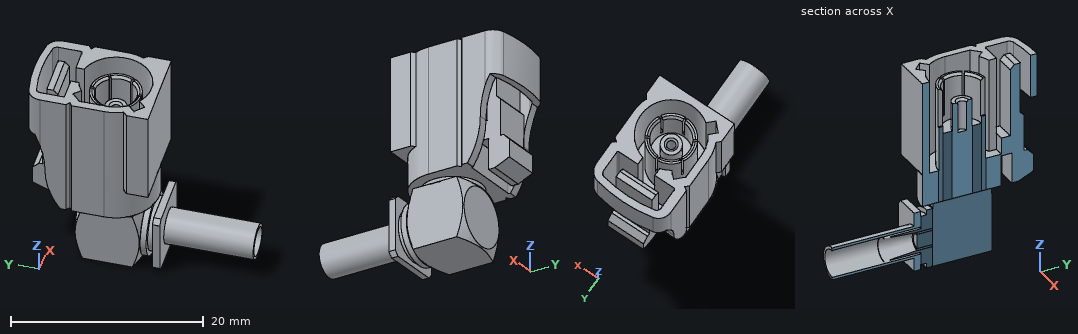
import cadquery as cq
import math


total_length = 24.05

housing_width = 9.4
housing_height = 14.8
half_width = housing_width / 2
block_bottom = 3.85
left_tip_depth = 1.97
left_shoulder_depth = 2.38
right_tip_depth = 1.78
right_shoulder_depth = 2.24
back_crown = 8.8
crown_radius = 16.6
back_corner_radius = 1.56

groove_top = 4.1
groove_tip = 3.8
groove_bottom = 3.49
groove_depth = 0.4

window_half_width = 3.6
window_front = 4.57
back_wall = 0.82
window_back_radius = 0.53
window_front_radius = 0.15

scoop_top = 9.67
scoop_top_y = 7.48
scoop_middle = (6.35, 5.0)
scoop_bottom_y = 4.75

cavity_radius = 3.82
key_half_width = 0.65
back_key_angle = 135
back_key_reach = cavity_radius * math.sqrt(2) - key_half_width
front_key_angle = 225
front_key_reach = 4.83
access_half_width = 1.05

latch_half_width = 2.25
latch_top = 14.2
latch_inner_y = 5.6
latch_outer_y = 6.8
latch_top_chamfer = 0.5
latch_pad_y = 7.26
latch_pad_top = 7.82
hook_y = 8.37
hook_ledge = 3.58
hook_ledge_y = 7.65
hook_slope_top = 2.84
hook_slope_bottom = 0.77
hook_toe_y = 6.6
hook_back_y = 5.8
web_bottom = hook_ledge
web_top = 5.77

shell_radius = 2.75
shell_bore = 2.24
shell_top = 13.47
shell_chamfer = 0.26
shell_slot_width = 0.25
shell_slot_bottom = 9.02
shell_slot_pairs = 3
insulator_top = 8.18
socket_radius = 1.15
socket_top = 11.42
socket_bore = 0.48
socket_chamfer = 0.25
socket_bore_depth = 3.6

cube_side = 7.02
cube_top = -0.48
half_cube = cube_side / 2
cable_z = cube_top - half_cube
neck_radius = 3.45
bevel_start_radius = 3.37
bevel_end_radius = half_cube * math.sqrt(2)
bevel_depth = 0.82

collar_radius = half_cube
collar_end = 4.18
barrel_neck_radius = 2.93
barrel_neck_end = 4.85
sleeve_radius = 1.45
sleeve_end = 9.15
sleeve_bore = 1.05
sleeve_mouth = 1.37
sleeve_taper_length = 3.85

flange_end = 5.65
flange_chamfer = 0.53
tube_radius = 1.95
tube_bore = 1.59
tube_end = total_length - back_crown

conductor_radius = 0.82


def cylinder_z(radius, bottom, top):
    return cq.Workplane("XY", origin=(0, 0, bottom)).circle(radius).extrude(top - bottom)


def cylinder_y(radius, start, end):
    """Cylinder on the cable axis between two distances from the mating axis."""
    return cq.Workplane("XZ", origin=(0, -start, cable_z)).circle(radius).extrude(end - start)


def crown_y(x, crown, radius):
    """Y of a crowned arc, centred on X = 0, at the given X."""
    return crown - radius + math.sqrt(radius**2 - x**2)


def on_front_circle(depth):
    """X on the rounded front of the housing at Y = -depth."""
    return math.sqrt(half_width**2 - depth**2)


def outer_walls():
    corner_y = crown_y(half_width, back_crown, crown_radius)
    return (
        cq.Workplane("XY")
        .moveTo(-half_width, 0)
        .threePointArc((0, -half_width), (half_width, 0))
        .lineTo(half_width, corner_y)
        .threePointArc((0, back_crown), (-half_width, corner_y))
        .close()
        .extrude(housing_height)
        .edges("|Z")
        .edges(">Y")
        .fillet(back_corner_radius)
    )


def front_block():
    outline = [
        (-half_width, -half_width),
        (-half_width, -left_shoulder_depth),
        (-on_front_circle(left_tip_depth), -left_tip_depth),
        (on_front_circle(right_tip_depth), -right_tip_depth),
        (half_width, -right_shoulder_depth),
        (half_width, -half_width),
    ]
    base = cq.Workplane("XY", origin=(0, 0, block_bottom))
    return base.polyline(outline).close().extrude(housing_height - block_bottom)


def side_groove(side):
    outline = [
        (side * half_width, groove_top),
        (side * (half_width - groove_depth), groove_tip),
        (side * half_width, groove_bottom),
    ]
    return cq.Workplane("XY").polyline(outline).close().extrude(housing_height)


def back_window():
    crown = back_crown - back_wall
    corner_y = crown_y(window_half_width, crown, crown_radius - back_wall)
    return (
        cq.Workplane("XY")
        .moveTo(-window_half_width, window_front)
        .lineTo(window_half_width, window_front)
        .lineTo(window_half_width, corner_y)
        .threePointArc((0, crown), (-window_half_width, corner_y))
        .close()
        .extrude(housing_height)
        .edges("|Z")
        .edges(">Y")
        .fillet(window_back_radius)
        .edges("|Z")
        .edges("<Y")
        .fillet(window_front_radius)
    )


def upright_arc_middle(end):
    """Point halfway up the arc that leaves scoop_middle upright and passes through end."""
    rise = end[1] - scoop_middle[1]
    run = end[0] - scoop_middle[0]
    radius = (run**2 + rise**2) / (2 * abs(run))
    sag = radius - math.sqrt(radius**2 - (rise / 2) ** 2)
    return (scoop_middle[0] + math.copysign(sag, run), scoop_middle[1] + rise / 2)


def back_scoop():
    top = (scoop_top_y, scoop_top)
    bottom = (scoop_bottom_y, 0)
    return (
        cq.Workplane("YZ")
        .moveTo(back_crown, scoop_top)
        .lineTo(*top)
        .threePointArc(upright_arc_middle(top), scoop_middle)
        .threePointArc(upright_arc_middle(bottom), bottom)
        .lineTo(back_crown, 0)
        .close()
        .extrude(half_width, both=True)
    )


def mating_cavity():
    depth = housing_height - block_bottom
    base = cq.Workplane("XY", origin=(0, 0, block_bottom))
    cavity = base.circle(cavity_radius).extrude(depth)
    for angle, reach in ((back_key_angle, back_key_reach), (front_key_angle, front_key_reach)):
        key = base.rect(reach, 2 * key_half_width).extrude(depth)
        key = key.translate((reach / 2, 0, 0))
        cavity = cavity.union(key.rotate((0, 0, 0), (0, 0, 1), angle))
    flat_length = cavity_radius - math.sqrt(2) * key_half_width
    flat = base.rect(cavity_radius, flat_length, centered=False).extrude(depth)
    cavity = cavity.union(flat.translate((-cavity_radius, 0, 0)))
    access = base.rect(2 * access_half_width, window_front, centered=(True, False)).extrude(depth)
    return cavity.union(access)


def latch():
    profile = [
        (latch_inner_y, latch_top - latch_top_chamfer),
        (latch_inner_y + latch_top_chamfer, latch_top),
        (latch_outer_y, latch_top),
        (latch_outer_y, latch_pad_top + latch_pad_y - latch_outer_y),
        (latch_pad_y, latch_pad_top),
        (latch_pad_y, hook_ledge),
        (hook_ledge_y, hook_ledge),
        (hook_y, hook_slope_top),
        (hook_y, hook_slope_bottom),
        (hook_toe_y, 0),
        (hook_back_y, 0),
        (hook_back_y, web_bottom),
        (window_front, web_bottom),
        (window_front, web_top),
        (latch_inner_y, web_top),
    ]
    return cq.Workplane("YZ").polyline(profile).close().extrude(latch_half_width, both=True)


def make_housing():
    body = outer_walls().union(front_block())
    for side in (-1, 1):
        body = body.cut(side_groove(side))
    body = body.cut(back_window()).cut(back_scoop()).cut(mating_cavity())
    body = body.cut(cylinder_z(shell_radius, 0, block_bottom))
    return body.union(latch())


def make_shell():
    shell = (
        cylinder_z(shell_radius, 0, shell_top)
        .cut(cylinder_z(shell_bore, 0, shell_top))
        .faces(">Z")
        .edges(cq.selectors.RadiusNthSelector(0))
        .chamfer(shell_chamfer)
    )
    slot_height = shell_top - shell_slot_bottom
    for index in range(shell_slot_pairs):
        slot = (
            cq.Workplane("XY", origin=(0, 0, shell_slot_bottom))
            .rect(shell_slot_width, 2 * shell_radius + shell_slot_width)
            .extrude(slot_height)
            .rotate((0, 0, 0), (0, 0, 1), index * 180 / shell_slot_pairs)
        )
        shell = shell.cut(slot)
    return shell


def make_insulator():
    return cylinder_z(shell_bore, 0, insulator_top).cut(cylinder_z(socket_radius, 0, insulator_top))


def make_socket():
    return (
        cylinder_z(socket_radius, 0, socket_top)
        .cut(cylinder_z(socket_bore, socket_top - socket_bore_depth, socket_top))
        .faces(">Z")
        .edges(cq.selectors.RadiusNthSelector(0))
        .chamfer(socket_chamfer)
    )


def make_angle_body():
    cube = cq.Workplane("XY").box(cube_side, cube_side, cube_side)
    bevel_y = half_cube - bevel_depth
    bevelled_round = (
        cq.Workplane("XY")
        .polyline([
            (0, -half_cube),
            (bevel_start_radius, -half_cube),
            (bevel_end_radius, -bevel_y),
            (bevel_end_radius, bevel_y),
            (bevel_start_radius, half_cube),
            (0, half_cube),
        ])
        .close()
        .revolve(360, (0, 0, 0), (0, 1, 0))
    )
    body = cube.intersect(bevelled_round).translate((0, 0, cable_z))
    return body.union(cylinder_z(neck_radius, cube_top, 0))


def make_barrel():
    barrel = cylinder_y(collar_radius, half_cube, collar_end)
    barrel = barrel.union(cylinder_y(barrel_neck_radius, collar_end, barrel_neck_end))
    barrel = barrel.union(cylinder_y(sleeve_radius, barrel_neck_end, sleeve_end))
    barrel = barrel.cut(cylinder_y(sleeve_bore, half_cube, sleeve_end))
    taper = (
        cq.Workplane("XZ", origin=(0, sleeve_taper_length - sleeve_end, cable_z))
        .circle(sleeve_bore)
        .workplane(offset=sleeve_taper_length)
        .circle(sleeve_mouth)
        .loft()
    )
    return barrel.cut(taper)


def make_ferrule():
    flange = (
        cq.Workplane("XZ", origin=(0, -barrel_neck_end, cable_z))
        .rect(cube_side, cube_side)
        .extrude(flange_end - barrel_neck_end)
        .edges("|Y")
        .chamfer(flange_chamfer)
    )
    tube = cylinder_y(tube_radius, flange_end, tube_end)
    return flange.union(tube).cut(cylinder_y(tube_bore, barrel_neck_end, tube_end))


def make_cable_insulator():
    end = sleeve_end - sleeve_taper_length
    return cylinder_y(sleeve_bore, half_cube, end).cut(cylinder_y(conductor_radius, half_cube, end))


def make_conductor():
    return cylinder_y(conductor_radius, half_cube, sleeve_end - sleeve_taper_length)


housing = make_housing()
shell = make_shell()
insulator = make_insulator()
socket = make_socket()
angle_body = make_angle_body()
barrel = make_barrel()
ferrule = make_ferrule()
cable_insulator = make_cable_insulator()
conductor = make_conductor()

result = cq.Compound.makeCompound([
    housing.val(),
    shell.val(),
    insulator.val(),
    socket.val(),
    angle_body.val(),
    barrel.val(),
    ferrule.val(),
    cable_insulator.val(),
    conductor.val(),
])